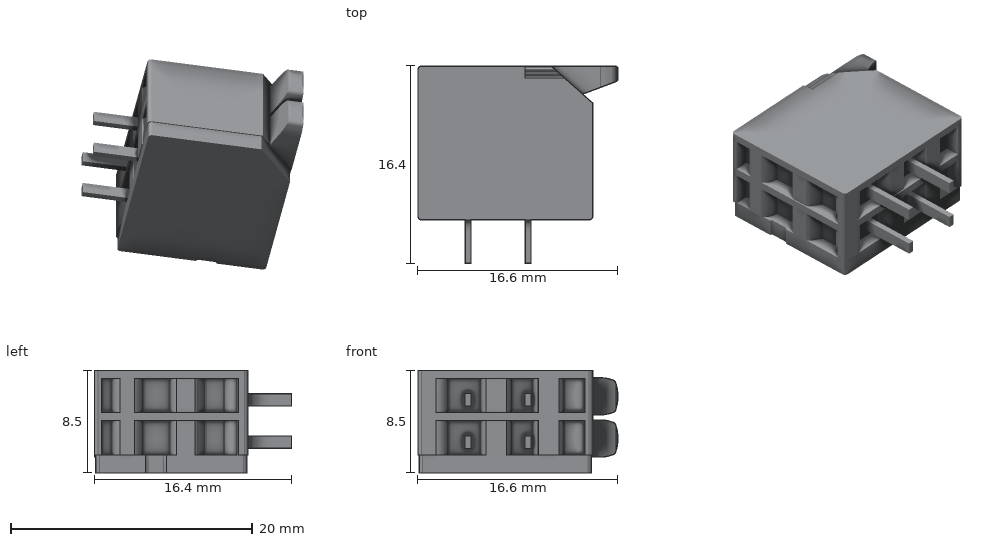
import cadquery as cq

BODY_X = 14.49
BODY_Y = 12.75
TOTAL_Z = 8.5
BASE_Z = 1.48
CORNER_R = 0.3
BEVEL_X = 3.47
BEVEL_Y = 3.07

BASE_SIDE_STEP = 0.1
BASE_FRONT_STEP = 0.08
BASE_REAR_STEP = 0.12
NOTCH_START_Y = 6.73
NOTCH_END_Y = 8.49
NOTCH_DEPTH = 0.17
NOTCH_START_R = 0.27
NOTCH_END_R = 0.18

LEVEL_PITCH = 3.5
POCKET_CEILING_Z = 4.35
UPPER_FLOOR_Z = 5.02
POCKET_LEVELS = (
    (BASE_Z, POCKET_CEILING_Z),
    (UPPER_FLOOR_Z, POCKET_CEILING_Z + LEVEL_PITCH),
)
POCKET_DEPTH = 1.18
POCKET_R = 0.12

FRONT_WINDOWS = ((1.5, 9.98), (11.67, 13.86))
LEFT_WINDOWS = ((0.81, 9.42), (10.6, 12.17))

COLUMN_R = 1.28
FRONT_COLUMN_DEPTH = 1.05
LEFT_COLUMN_DEPTH = 1.13
FRONT_COLUMNS_X = (6.48, 10.81)
LEFT_COLUMNS_Y = (5.19, 10.01)
CORNER_COLUMN = (1.48, 1.03)
CORNER_COLUMN_R = 1.01
CORNER_WEB_Y = 0.93

FLANK_START_Y = 3.56
FLANK_BEND = (0.28, 4.2)
FLANK_END_Y = 4.43

PIN_X = 0.5
PIN_Z = 1.05
PIN_LENGTH = 3.6
PIN_ROOT = 0.5
PIN_LEFT_EDGES = (3.91, 8.89)
PIN_BOTTOM_Z = 2.04

LEVER_BOTTOM_Z = 1.31
LEVER_Z = 3.1
LEVER_TIP_X = 16.58
LEVER_HEEL = (13.73, 10.45)
LEVER_HEEL_R = 0.5
LEVER_NOSE = (16.41, 11.45)
LEVER_TIP_Y = 11.62
LEVER_TIP_CHAMFER = 0.15
LEVER_ROUND_X = 15.12
LEVER_BROW = (15.63, 0.05)
LEVER_SHOULDER = (16.15, 0.2)
LEVER_CORNER = (16.33, 0.32)
LEVER_END = (16.41, 0.5)

GRIP_START_X = 8.87
GRIP_START_Y = 11.75
GRIP_TEETH = 2
GRIP_PITCH = 0.33
GRIP_DEPTH = 0.1
GRIP_CREST_Z = TOTAL_Z - 0.02
GRIP_EDGE_Y = 12.62


def housing_block(left, right, front, rear, height):
    """Upright block with rounded corners and a bevelled rear right corner."""
    return (
        cq.Workplane("XY")
        .moveTo(left, front)
        .lineTo(right, front)
        .lineTo(right, rear - BEVEL_Y)
        .lineTo(right - BEVEL_X, rear)
        .lineTo(left, rear)
        .close()
        .extrude(height)
        .edges("|Z and (<X or <Y)")
        .fillet(CORNER_R)
    )


def upright_box(x_range, y_range, z_range):
    size = [end - start for start, end in (x_range, y_range, z_range)]
    return (
        cq.Workplane("XY")
        .box(*size, centered=False)
        .translate((x_range[0], y_range[0], z_range[0]))
    )


def column(center, radius, z_range):
    bottom, top = z_range
    return cq.Workplane("XY", origin=(*center, bottom)).circle(radius).extrude(top - bottom)


def flank(z_range):
    bottom, top = z_range
    return (
        cq.Workplane("XY", origin=(0, 0, bottom))
        .moveTo(BASE_SIDE_STEP, FLANK_END_Y)
        .lineTo(*FLANK_BEND)
        .lineTo(POCKET_DEPTH, FLANK_START_Y)
        .lineTo(POCKET_DEPTH, LEFT_COLUMNS_Y[0])
        .lineTo(BASE_SIDE_STEP, LEFT_COLUMNS_Y[0])
        .close()
        .extrude(top - bottom)
    )


def corner_column(z_range):
    return column(CORNER_COLUMN, CORNER_COLUMN_R, z_range)


def front_columns(z_range):
    """Columns behind the front wall, cut flat in line with the base."""
    inside = upright_box((0, BODY_X), (BASE_FRONT_STEP, BODY_Y), z_range)
    posts = corner_column(z_range)
    for x in FRONT_COLUMNS_X:
        post = column((x, FRONT_COLUMN_DEPTH), COLUMN_R, z_range)
        posts = posts.union(post.intersect(inside))
    return posts


def left_columns(z_range):
    """A flanked column, cut flat in line with the base, and a fully round one."""
    flanked_y, round_y = LEFT_COLUMNS_Y
    rear_half = upright_box((BASE_SIDE_STEP, BODY_X), (flanked_y, BODY_Y), z_range)
    flanked = column((LEFT_COLUMN_DEPTH, flanked_y), COLUMN_R, z_range).intersect(rear_half)
    round_post = column((LEFT_COLUMN_DEPTH, round_y), COLUMN_R, z_range)
    return flanked.union(flank(z_range)).union(round_post)


def front_pockets(z_range):
    """Space to remove behind the front windows of one level."""
    posts = front_columns(z_range)
    space = cq.Workplane("XY")
    for window in FRONT_WINDOWS:
        room = upright_box(window, (0, POCKET_DEPTH), z_range).cut(posts)
        space = space.union(room.faces(">Y").edges("|Z").fillet(POCKET_R))
    return space


def left_pockets(z_range):
    """Space to remove behind the left windows; the corner column keeps sharp edges here."""
    posts = left_columns(z_range)
    space = cq.Workplane("XY")
    for window in LEFT_WINDOWS:
        room = upright_box((0, POCKET_DEPTH), window, z_range).cut(posts)
        space = space.union(room.faces(">X").edges("|Z").fillet(POCKET_R))
    web = upright_box((BASE_SIDE_STEP, CORNER_COLUMN[0]), (0, CORNER_WEB_Y), z_range)
    return space.cut(corner_column(z_range)).cut(web)


def base_notch():
    """Notch cutter, reaching out past the base so that its roundings may exceed its depth."""
    outer_x = -NOTCH_START_R
    inner_x = BASE_SIDE_STEP + NOTCH_DEPTH
    cutter = upright_box((outer_x, inner_x), (NOTCH_START_Y, NOTCH_END_Y), (0, BASE_Z))
    cutter = cutter.edges("|Z").edges(">X and <Y").fillet(NOTCH_START_R)
    return cutter.faces(">Y").edges("|Z and >X").fillet(NOTCH_END_R)


def grip():
    """Cutter for a strip of saw teeth that falls away at the rear edge."""
    valley_z = TOTAL_Z - GRIP_DEPTH
    profile = cq.Workplane("YZ", origin=(GRIP_START_X, 0, 0)).moveTo(GRIP_START_Y, TOTAL_Z)
    for tooth in range(GRIP_TEETH):
        valley_y = GRIP_START_Y + (tooth + 0.5) * GRIP_PITCH
        profile = profile.lineTo(valley_y, valley_z)
        profile = profile.lineTo(valley_y + GRIP_PITCH / 2, GRIP_CREST_Z)
    return (
        profile.lineTo(GRIP_EDGE_Y, valley_z)
        .lineTo(BODY_Y, valley_z - GRIP_DEPTH)
        .lineTo(BODY_Y, TOTAL_Z)
        .close()
        .extrude(BODY_X - GRIP_START_X)
    )


def pin(left, bottom):
    root_y = POCKET_DEPTH + PIN_ROOT
    return upright_box((left, left + PIN_X), (-PIN_LENGTH, root_y), (bottom, bottom + PIN_Z))


def lever(bottom):
    """Finger lever: a plan outline trimmed to a rounded end."""
    top = bottom + LEVER_Z
    middle_z = (bottom + top) / 2
    root_x = BODY_X - BEVEL_X
    plan = (
        cq.Workplane("XY", origin=(0, 0, bottom))
        .moveTo(root_x, BODY_Y)
        .lineTo(root_x, LEVER_HEEL[1])
        .lineTo(*LEVER_HEEL)
        .lineTo(*LEVER_NOSE)
        .lineTo(LEVER_TIP_X, LEVER_TIP_Y)
        .lineTo(LEVER_TIP_X, BODY_Y - LEVER_TIP_CHAMFER)
        .lineTo(LEVER_TIP_X - LEVER_TIP_CHAMFER, BODY_Y)
        .close()
        .extrude(LEVER_Z)
        .edges(cq.selectors.NearestToPointSelector((*LEVER_HEEL, middle_z)))
        .fillet(LEVER_HEEL_R)
    )
    brow, shoulder, corner, end = (
        ((x, bottom + inset), (x, top - inset))
        for x, inset in (LEVER_BROW, LEVER_SHOULDER, LEVER_CORNER, LEVER_END)
    )
    side = (
        cq.Workplane("XZ", origin=(0, BODY_Y, 0))
        .moveTo(root_x, bottom)
        .lineTo(LEVER_ROUND_X, bottom)
        .threePointArc(brow[0], shoulder[0])
        .threePointArc(corner[0], end[0])
        .threePointArc((LEVER_TIP_X, middle_z), end[1])
        .threePointArc(corner[1], shoulder[1])
        .threePointArc(brow[1], (LEVER_ROUND_X, top))
        .lineTo(root_x, top)
        .close()
        .extrude(BEVEL_Y)
    )
    return plan.intersect(side)


walls = housing_block(0, BODY_X, 0, BODY_Y, TOTAL_Z).intersect(
    upright_box((0, BODY_X), (0, BODY_Y), (BASE_Z, TOTAL_Z))
)
base = housing_block(
    BASE_SIDE_STEP,
    BODY_X - BASE_SIDE_STEP,
    BASE_FRONT_STEP,
    BODY_Y - BASE_REAR_STEP,
    BASE_Z,
).cut(base_notch())

result = walls.cut(grip())
for level in POCKET_LEVELS:
    result = result.cut(front_pockets(level)).cut(left_pockets(level))
result = result.union(base)
for shift in (0, LEVEL_PITCH):
    for left_edge in PIN_LEFT_EDGES:
        result = result.union(pin(left_edge, PIN_BOTTOM_Z + shift))
    result = result.union(lever(LEVER_BOTTOM_Z + shift))